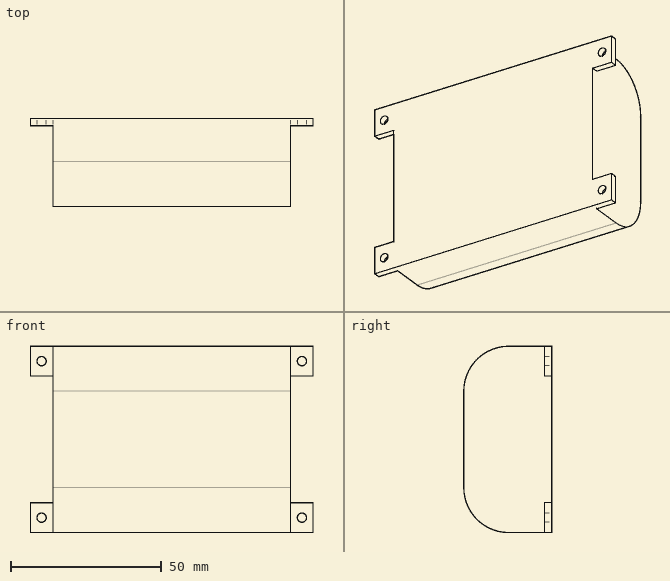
import cadquery as cq

overall_length = 94.0
depth = 29.3
height = 62.0

body_length = 79.0
corner_radius = 15.0

tab_height = 10.0
tab_thickness = 2.5
hole_diameter = 3.0
tab_width = (overall_length - body_length) / 2
tab_center_x = (body_length + tab_width) / 2
tab_center_z = (height - tab_height) / 2


def make_body():
    """Block with its flat back on Y = 0 and two rounded long edges in front."""
    block = cq.Workplane("XY").box(body_length, depth, height).translate((0, -depth / 2, 0))
    return block.faces("<Y").edges("|X").fillet(corner_radius)


def make_tab(side_x, side_z):
    """Drilled mounting tab, flush with the back and the top or bottom of the body."""
    plate = cq.Workplane("XY").box(tab_width, tab_thickness, tab_height)
    plate = plate.faces("<Y").workplane().hole(hole_diameter)
    return plate.translate((side_x * tab_center_x, -tab_thickness / 2, side_z * tab_center_z))


result = make_body()
for side_x in (-1, 1):
    for side_z in (-1, 1):
        result = result.union(make_tab(side_x, side_z))